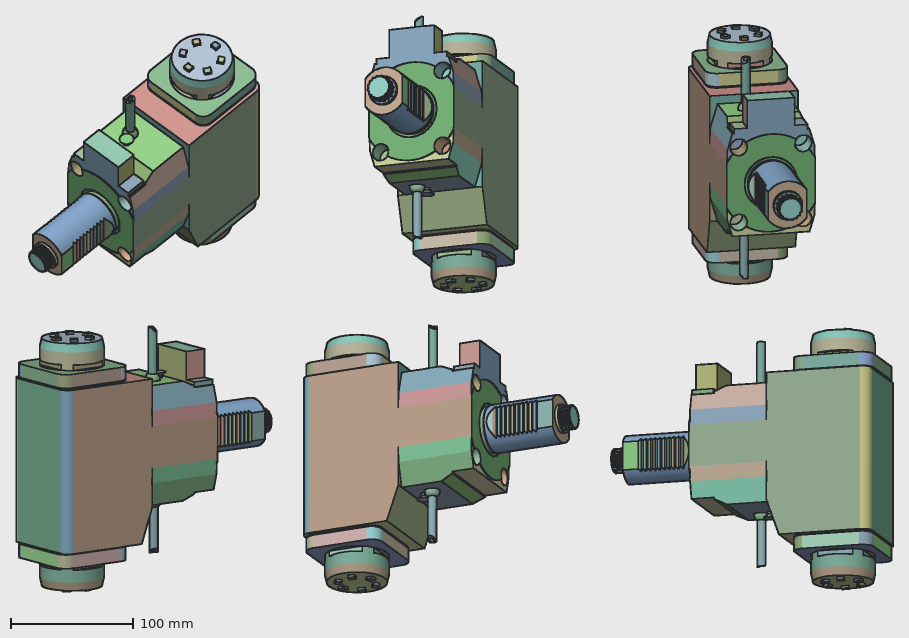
import cadquery as cq
import math


OVERALL_LENGTH = 229.0
WIDTH = 74.0
HALF_WIDTH = WIDTH / 2
REAR_Y = 153.2
BLOCK_FRONT_Y = 65.5
BLOCK_FOOT_Y = 76.0
BLOCK_CENTRE_Z = -11.2
BLOCK_HALF_HEIGHT = 68.2
BLOCK_TOP_Z = BLOCK_CENTRE_Z + BLOCK_HALF_HEIGHT
BLOCK_BOTTOM_Z = BLOCK_CENTRE_Z - BLOCK_HALF_HEIGHT
REAR_CORNER_RADIUS = 7.8

PLATE_WIDTH = 68.5
PLATE_LENGTH = 67.5
PLATE_CORNER_RADIUS = 9.6
PLATE_GAP = 1.1
PLATE_GAP_INSET = 0.7
PLATE_THICKNESS = 11.5
PLATE_CENTRE_Y = REAR_Y - PLATE_LENGTH / 2
SPINDLE_Y = 119.8
NUT_SEAT = BLOCK_HALF_HEIGHT + PLATE_GAP + PLATE_THICKNESS

NECK_HALF_HEIGHT = 50.0
NECK_HALF_TOP_WIDTH = 30.5
NECK_SHOULDER_X = 36.5
NECK_SHOULDER_Z = 30.0
NECK_SIDE_Z = 17.5
FLANGE_HALF_HEIGHT = 43.7
FLANGE_THICKNESS = 19.2
FLANGE_STEP = 1.4
RAMP_END_Y = 29.8
PAD_DIAMETER = 83.4
PAD_HEIGHT = 0.7
MOUNT_HOLE_DIAMETER = 14.0
MOUNT_HOLE_DEPTH = 18.3
MOUNT_HOLE_X = 27.0
MOUNT_HOLE_Z = 32.0

KEY_DEPTH = 18.3
KEY_BASE_WIDTH = 61.4
KEY_BASE_HEIGHT = 4.1
KEY_WIDTH = 39.5
KEY_TOP_Z = 71.5

SHANK_DIAMETER = 40.0
SHANK_END_Y = -63.7
UNDERCUT_DIAMETER = 38.7
UNDERCUT_END_Y = -2.7
RING_GROOVE_DIAMETER = 44.0
RING_GROOVE_DEPTH = 1.4
SHANK_CHAMFER = 1.0
FLAT_X = 16.3
RUNOUT_START_Y = -6.0
RUNOUT_END_X = 17.0
RUNOUT_END_Y = -10.0
SERRATION_COUNT = 10
SERRATION_SPAN = 36.0
SERRATION_PITCH = SERRATION_SPAN / (SERRATION_COUNT - 1)
SERRATION_DEPTH = 1.5
FIRST_SERRATION_Y = -12.1

COLLAR_DIAMETER = 23.8
COLLAR_END_Y = -66.5
SPLINE_DIAMETER = 20.2
SPLINE_ROOT_DIAMETER = 17.9
SPLINE_TEETH = 16
SPLINE_END_Y = REAR_Y - OVERALL_LENGTH
SPLINE_CHAMFER = 1.0

NUT_DIAMETER = 53.0
NUT_SPIGOT_DEPTH = PLATE_THICKNESS
NUT_FLATS = 43.7
NUT_FLATS_HEIGHT = 4.5
NUT_CYLINDER_HEIGHT = 15.0
NUT_FACE_HEIGHT = 22.2
NUT_FACE_DIAMETER = 49.7
NUT_LUG_HEIGHT = 2.0
NUT_LUG_WIDTH = 6.0
NUT_LUG_OUTER_DIAMETER = 37.5
NUT_LUG_INNER_DIAMETER = 27.0
NUT_LUG_COUNT = 6
LUG_STEP_ANGLE = 360 / NUT_LUG_COUNT
TOP_LUG_ANGLE = 30
BOTTOM_LUG_ANGLE = 10

NOZZLE_Y = 46.3
TOP_NOZZLE_X = -11.0
BOTTOM_NOZZLE_X = -12.5
BALL_DIAMETER = 12.8
TUBE_DIAMETER = 7.0
BORE_DIAMETER = 3.5
NOZZLE_LENGTH = 44.0
TIP_BEVEL = 4.1
TOP_BEVEL_ANGLE = 225
BOTTOM_BEVEL_ANGLE = 160

SCREW_OFFSET_X = 4.8
SCREW_OFFSET_Y = 9.5
SCREW_HEAD_DIAMETER = 11.7
SCREW_NECK_DIAMETER = 6.0
SCREW_HEAD_BASE = 1.8
SCREW_HEAD_TOP = 4.8
SCREW_SEAT_DEPTH = 4.5

UP = 1
DOWN = -1
SIDES = (UP, DOWN)


def cylinder_to_front(diameter, start_y, end_y):
    """Cylinder on the shank axis from start_y forward to end_y."""
    return cq.Workplane("XZ", origin=(0, start_y, 0)).circle(diameter / 2).extrude(start_y - end_y)


def upright_box(width, length, height, base_z):
    """Box centred on the cover plates and standing on base_z."""
    return cq.Workplane("XY", origin=(0, PLATE_CENTRE_Y, base_z)).rect(width, length).extrude(height)


def make_block():
    side_profile = [
        (REAR_Y, BLOCK_TOP_Z),
        (BLOCK_FRONT_Y, BLOCK_TOP_Z),
        (BLOCK_FRONT_Y, -NECK_HALF_HEIGHT),
        (BLOCK_FOOT_Y, BLOCK_BOTTOM_Z),
        (REAR_Y, BLOCK_BOTTOM_Z),
    ]
    block = cq.Workplane("YZ").polyline(side_profile).close().extrude(HALF_WIDTH, both=True)
    return block.edges("|Z and >Y").fillet(REAR_CORNER_RADIUS)


def make_cover_plate(side):
    """Rounded cover plate and the slightly smaller spacer under it, on one end of the block."""
    spacer_z = BLOCK_CENTRE_Z + side * BLOCK_HALF_HEIGHT
    plate_z = spacer_z + side * PLATE_GAP
    inset = 2 * PLATE_GAP_INSET
    spacer = upright_box(PLATE_WIDTH - inset, PLATE_LENGTH - inset, side * PLATE_GAP, spacer_z)
    spacer = spacer.edges("|Z").fillet(PLATE_CORNER_RADIUS - PLATE_GAP_INSET)
    plate = upright_box(PLATE_WIDTH, PLATE_LENGTH, side * PLATE_THICKNESS, plate_z)
    plate = plate.edges("|Z").fillet(PLATE_CORNER_RADIUS)
    return spacer.union(plate)


def neck_prism(start_y, end_y):
    """Prism with the neck's twelve-cornered section, from start_y forward to end_y."""
    quarter = [
        (HALF_WIDTH, NECK_SIDE_Z),
        (NECK_SHOULDER_X, NECK_SHOULDER_Z),
        (NECK_HALF_TOP_WIDTH, NECK_HALF_HEIGHT),
    ]
    upper = quarter + [(-x, z) for x, z in reversed(quarter)]
    outline = upper + [(x, -z) for x, z in reversed(upper)]
    prism = cq.Workplane("XZ", origin=(0, start_y, 0)).polyline(outline).close()
    return prism.extrude(start_y - end_y)


def make_neck():
    """Neck, ramped down to the lower flange at the front."""
    upper = [
        (0, FLANGE_HALF_HEIGHT),
        (FLANGE_THICKNESS, FLANGE_HALF_HEIGHT),
        (FLANGE_THICKNESS, FLANGE_HALF_HEIGHT + FLANGE_STEP),
        (RAMP_END_Y, NECK_HALF_HEIGHT),
        (BLOCK_FRONT_Y, NECK_HALF_HEIGHT),
    ]
    outline = upper + [(y, -z) for y, z in reversed(upper)]
    side_profile = cq.Workplane("YZ").polyline(outline).close().extrude(HALF_WIDTH, both=True)
    pad = cylinder_to_front(PAD_DIAMETER, 0, -PAD_HEIGHT).intersect(neck_prism(0, -PAD_HEIGHT))
    return neck_prism(BLOCK_FRONT_Y, 0).intersect(side_profile).union(pad)


def make_key():
    base_top_z = FLANGE_HALF_HEIGHT + KEY_BASE_HEIGHT
    outline = [
        (KEY_BASE_WIDTH / 2, FLANGE_HALF_HEIGHT),
        (KEY_BASE_WIDTH / 2, base_top_z),
        (KEY_WIDTH / 2, base_top_z),
        (KEY_WIDTH / 2, KEY_TOP_Z),
    ]
    outline += [(-x, z) for x, z in reversed(outline)]
    return cq.Workplane("XZ").polyline(outline).close().extrude(-KEY_DEPTH)


def make_flat_cutter():
    """Material beside the shank's +X flat: run-out slope, serrations and plain flat."""
    outside_x = SHANK_DIAMETER
    valley_x = FLAT_X - SERRATION_DEPTH
    outline = [
        (outside_x, RUNOUT_START_Y),
        (SHANK_DIAMETER / 2, RUNOUT_START_Y),
        (RUNOUT_END_X, RUNOUT_END_Y),
    ]
    for i in range(SERRATION_COUNT):
        valley_y = FIRST_SERRATION_Y - i * SERRATION_PITCH
        outline.append((valley_x, valley_y))
        outline.append((FLAT_X, valley_y - SERRATION_PITCH / 2))
    outline += [(FLAT_X, SHANK_END_Y), (outside_x, SHANK_END_Y)]
    cutter = cq.Workplane("XY").polyline(outline).close()
    return cutter.extrude(SHANK_DIAMETER / 2, both=True)


def make_shank():
    undercut = cylinder_to_front(UNDERCUT_DIAMETER, 0, UNDERCUT_END_Y)
    shank = cylinder_to_front(SHANK_DIAMETER, UNDERCUT_END_Y, SHANK_END_Y)
    shank = shank.faces(">Y").chamfer(SHANK_CHAMFER)
    cutter = make_flat_cutter()
    return undercut.union(shank).cut(cutter).cut(cutter.mirror("YZ"))


def make_drive_end():
    """Collar and splined end, with the spline tips chamfered."""
    collar = cylinder_to_front(COLLAR_DIAMETER, SHANK_END_Y, COLLAR_END_Y)
    root_radius = SPLINE_ROOT_DIAMETER / 2
    tip_radius = SPLINE_DIAMETER / 2
    outline = []
    for i in range(4 * SPLINE_TEETH):
        radius = tip_radius if i % 4 in (1, 2) else root_radius
        angle = math.pi * i / (2 * SPLINE_TEETH)
        outline.append((radius * math.cos(angle), radius * math.sin(angle)))
    spline = cq.Workplane("XZ", origin=(0, COLLAR_END_Y, 0)).polyline(outline).close()
    spline = spline.extrude(COLLAR_END_Y - SPLINE_END_Y)
    envelope = cylinder_to_front(SPLINE_DIAMETER, COLLAR_END_Y, SPLINE_END_Y)
    envelope = envelope.faces("<Y").chamfer(SPLINE_CHAMFER)
    return collar.union(spline.intersect(envelope))


def make_mount_holes():
    holes = cq.Workplane("XZ", origin=(0, -PAD_HEIGHT, 0))
    holes = holes.rect(2 * MOUNT_HOLE_X, 2 * MOUNT_HOLE_Z, forConstruction=True).vertices()
    return holes.circle(MOUNT_HOLE_DIAMETER / 2).extrude(-MOUNT_HOLE_DEPTH)


def make_ring_groove():
    """Annular groove in the flange pad around the root of the shank."""
    groove = cq.Workplane("XZ", origin=(0, -PAD_HEIGHT, 0))
    groove = groove.circle(RING_GROOVE_DIAMETER / 2).circle(UNDERCUT_DIAMETER / 2)
    return groove.extrude(-RING_GROOVE_DEPTH)


def make_housing():
    housing = make_block().union(make_neck()).union(make_key())
    for side in SIDES:
        housing = housing.union(make_cover_plate(side))
    housing = housing.cut(make_mount_holes()).cut(make_ring_groove())
    return housing.union(make_shank()).union(make_drive_end())


def make_nut(side):
    """Collet nut: spigot inside the cover plate, four wrench flats above it, six lugs on its face."""
    half_profile = [
        (0, -NUT_SPIGOT_DEPTH),
        (NUT_DIAMETER / 2, -NUT_SPIGOT_DEPTH),
        (NUT_DIAMETER / 2, NUT_CYLINDER_HEIGHT),
        (NUT_FACE_DIAMETER / 2, NUT_FACE_HEIGHT),
        (0, NUT_FACE_HEIGHT),
    ]
    nut = cq.Workplane("XZ").polyline(half_profile).close().revolve(360, (0, 0), (0, 1))
    flats = cq.Workplane("XY").rect(2 * NUT_DIAMETER, 2 * NUT_DIAMETER).rect(NUT_FLATS, NUT_FLATS)
    nut = nut.cut(flats.extrude(NUT_FLATS_HEIGHT))

    face = cq.Workplane("XY", origin=(0, 0, NUT_FACE_HEIGHT))
    ring = face.circle(NUT_LUG_OUTER_DIAMETER / 2).circle(NUT_LUG_INNER_DIAMETER / 2)
    ring = ring.extrude(NUT_LUG_HEIGHT)
    bar = face.rect(NUT_LUG_OUTER_DIAMETER, NUT_LUG_WIDTH).extrude(NUT_LUG_HEIGHT)
    first_angle = TOP_LUG_ANGLE if side == UP else BOTTOM_LUG_ANGLE
    for i in range(NUT_LUG_COUNT // 2):
        lug_pair = ring.intersect(bar.rotate((0, 0, 0), (0, 0, 1), first_angle + i * LUG_STEP_ANGLE))
        nut = nut.union(lug_pair)

    if side == DOWN:
        nut = nut.mirror("XY")
    return nut.translate((0, SPINDLE_Y, BLOCK_CENTRE_Z + side * NUT_SEAT))


def nozzle_x(side):
    return TOP_NOZZLE_X if side == UP else BOTTOM_NOZZLE_X


def place_on_neck(body, side, x, y):
    """Stand a body, modelled upright at the origin, on the neck's top or bottom face."""
    if side == DOWN:
        body = body.mirror("XY")
    return body.translate((x, y, side * NECK_HALF_HEIGHT))


def make_ball():
    return cq.Workplane("XY").sphere(BALL_DIAMETER / 2)


def make_nozzle(side):
    """Ball-ended coolant tube with an axial bore and a 45 degree bevel at its tip."""
    tube = cq.Workplane("XY").circle(TUBE_DIAMETER / 2).extrude(NOZZLE_LENGTH)
    bore = cq.Workplane("XY", origin=(0, 0, -BALL_DIAMETER / 2)).circle(BORE_DIAMETER / 2)
    bore = bore.extrude(BALL_DIAMETER / 2 + NOZZLE_LENGTH)
    edge_x = TUBE_DIAMETER / 2
    bevel_outline = [
        (edge_x, NOZZLE_LENGTH - TIP_BEVEL),
        (edge_x, NOZZLE_LENGTH),
        (edge_x - TIP_BEVEL, NOZZLE_LENGTH),
    ]
    bevel = cq.Workplane("XZ").polyline(bevel_outline).close().extrude(TUBE_DIAMETER, both=True)
    bevel_angle = TOP_BEVEL_ANGLE if side == UP else BOTTOM_BEVEL_ANGLE
    bevel = bevel.rotate((0, 0, 0), (0, 0, 1), bevel_angle)
    nozzle = make_ball().union(tube).cut(bore).cut(bevel)
    return place_on_neck(nozzle, side, nozzle_x(side), NOZZLE_Y)


def make_screw(side):
    """Countersunk screw whose conical head overhangs the nozzle ball."""
    half_profile = [
        (0, -SCREW_SEAT_DEPTH),
        (SCREW_NECK_DIAMETER / 2, -SCREW_SEAT_DEPTH),
        (SCREW_NECK_DIAMETER / 2, SCREW_HEAD_BASE),
        (SCREW_HEAD_DIAMETER / 2, SCREW_HEAD_TOP),
        (0, SCREW_HEAD_TOP),
    ]
    screw = cq.Workplane("XZ").polyline(half_profile).close().revolve(360, (0, 0), (0, 1))
    return place_on_neck(screw, side, nozzle_x(side) + SCREW_OFFSET_X, NOZZLE_Y - side * SCREW_OFFSET_Y)


housing = make_housing()
nuts = []
nozzles = []
screws = []
for side in SIDES:
    nuts.append(make_nut(side))
    nozzles.append(make_nozzle(side))
    screws.append(make_screw(side))
    ball_socket = place_on_neck(make_ball(), side, nozzle_x(side), NOZZLE_Y)
    housing = housing.cut(ball_socket).cut(screws[-1]).cut(nuts[-1])

small_bodies = nuts + nozzles + screws
result = cq.Compound.makeCompound(housing.solids().vals() + [body.val() for body in small_bodies])